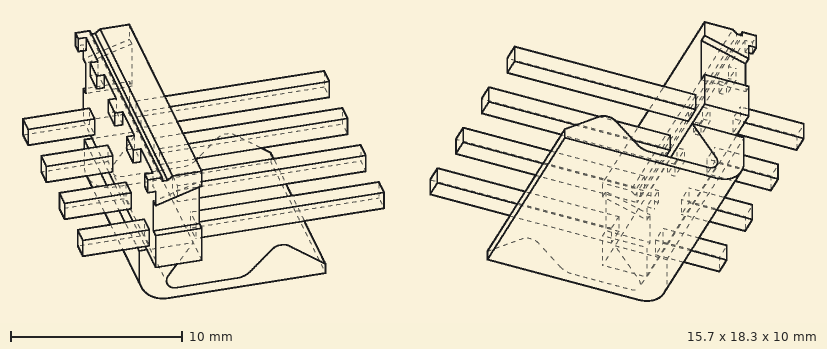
import cadquery as cq


PIN_COUNT = 4
PITCH = 3.95
PIN_SIZE = 1.13
PIN_LENGTH = 18.29
PIN_FRONT_REACH = 4.05
PIN_CENTRE_Z = 1.2

BLOCK_WIDTH = 15.7
BLOCK_DEPTH = 2.8
BLOCK_HEIGHT = 6.31

NOTCH_DEPTH = 0.5
NOTCH_BOTTOM_Z = 2.27
NOTCH_TOP_FRONT_Z = 4.39
NOTCH_TOP_BACK_Z = 5.27

GROOVE_FRONT_Y = 0.4
GROOVE_FLOOR_BACK_Y = 0.73
GROOVE_BACK_Y = 1.02
GROOVE_DEPTH = 0.25

NUB_REACH = 0.48
NUB_HEIGHT = 0.91
NUB_WIDTH = 1.43
END_NUB_WIDTH = 0.62

CLIP_WIDTH = 11.89
CLIP_BOTTOM_Z = -3.7
CLIP_THICKNESS = 0.65
CLIP_FLOOR_Z = CLIP_BOTTOM_Z + CLIP_THICKNESS
CLIP_TIP_Y = 10.85
NECK_FOOT_Y = 0.62
RAMP_FOOT_Y = 5.96
CREST_RISE = 1.85
CREST_FLAT = 0.62
OUTER_BEND_RADIUS = 1.77
INNER_BEND_RADIUS = 0.6
RAMP_FOOT_RADIUS = 1.1
CREST_RADIUS = 0.59


def box(width, depth, height, x_centre, y_front, z_bottom):
    """Box centred in X on x_centre, growing back and up from its front lower edge."""
    return (
        cq.Workplane("XY")
        .box(width, depth, height, centered=(True, False, False))
        .translate((x_centre, y_front, z_bottom))
    )


def side_profile(points, width, x_centre=0):
    """Outline of (y, z) points extruded along X, centred on x_centre."""
    return (
        cq.Workplane("YZ")
        .polyline(points)
        .close()
        .extrude(width / 2, both=True)
        .translate((x_centre, 0, 0))
    )


def make_block():
    block = box(BLOCK_WIDTH, BLOCK_DEPTH, BLOCK_HEIGHT, 0, 0, 0)
    groove_floor_z = BLOCK_HEIGHT - GROOVE_DEPTH
    groove = side_profile(
        [
            (GROOVE_FRONT_Y, BLOCK_HEIGHT),
            (GROOVE_FRONT_Y, groove_floor_z),
            (GROOVE_FLOOR_BACK_Y, groove_floor_z),
            (GROOVE_BACK_Y, BLOCK_HEIGHT),
        ],
        BLOCK_WIDTH,
    )
    block = block.cut(groove)
    notch_points = [
        (0, NOTCH_BOTTOM_Z),
        (BLOCK_DEPTH, NOTCH_BOTTOM_Z),
        (BLOCK_DEPTH, NOTCH_TOP_BACK_Z),
        (0, NOTCH_TOP_FRONT_Z),
    ]
    for side in (-1, 1):
        block = block.cut(side_profile(notch_points, 2 * NOTCH_DEPTH, side * BLOCK_WIDTH / 2))
    return block


def add_nubs(body):
    depth = NUB_REACH + GROOVE_FRONT_Y
    bottom_z = BLOCK_HEIGHT - NUB_HEIGHT
    end_x = (BLOCK_WIDTH - END_NUB_WIDTH) / 2
    nubs = [(-end_x, END_NUB_WIDTH), (end_x, END_NUB_WIDTH)]
    for gap in range(PIN_COUNT - 1):
        nubs.append(((gap - (PIN_COUNT - 2) / 2) * PITCH, NUB_WIDTH))
    for x, width in nubs:
        body = body.union(box(width, depth, NUB_HEIGHT, x, -NUB_REACH, bottom_z))
    return body


def make_clip():
    crest_y = RAMP_FOOT_Y + CREST_RISE
    crest_back_y = crest_y + CREST_FLAT
    crest_z = CLIP_FLOOR_Z + CREST_RISE
    clip = side_profile(
        [
            (-NUB_REACH, 0),
            (BLOCK_DEPTH, 0),
            (NECK_FOOT_Y, CLIP_FLOOR_Z),
            (RAMP_FOOT_Y, CLIP_FLOOR_Z),
            (crest_y, crest_z),
            (crest_back_y, crest_z),
            (CLIP_TIP_Y, CLIP_FLOOR_Z),
            (CLIP_TIP_Y, CLIP_BOTTOM_Z),
            (-NUB_REACH, CLIP_BOTTOM_Z),
        ],
        CLIP_WIDTH,
    )
    bends = [
        (-NUB_REACH, CLIP_BOTTOM_Z, OUTER_BEND_RADIUS),
        (NECK_FOOT_Y, CLIP_FLOOR_Z, INNER_BEND_RADIUS),
        (RAMP_FOOT_Y, CLIP_FLOOR_Z, RAMP_FOOT_RADIUS),
        (crest_y, crest_z, CREST_RADIUS),
        (crest_back_y, crest_z, CREST_RADIUS),
    ]
    for y, z, radius in bends:
        corner = cq.selectors.NearestToPointSelector((0, y, z))
        clip = clip.edges("|X").edges(corner).fillet(radius)
    return clip


def add_pins(body):
    for index in range(PIN_COUNT):
        x = (index - (PIN_COUNT - 1) / 2) * PITCH
        pin = box(PIN_SIZE, PIN_LENGTH, PIN_SIZE, x, -PIN_FRONT_REACH, PIN_CENTRE_Z - PIN_SIZE / 2)
        body = body.union(pin)
    return body


result = add_pins(add_nubs(make_block()).union(make_clip()))